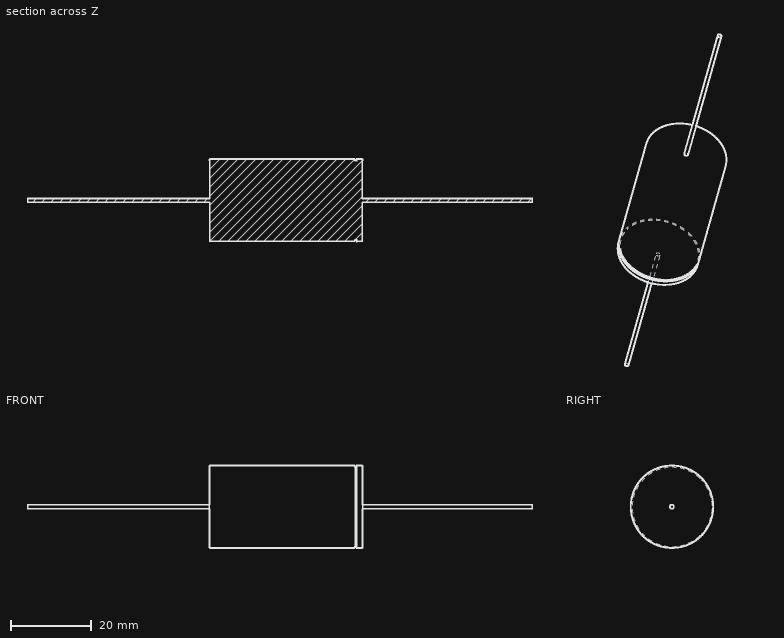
import cadquery as cq

overall_length = 125.0
can_diameter = 20.5
can_length = 38.0
left_lead_length = 45.0
lead_diameter = 1.0
edge_round = 0.3

groove_width = 0.4
groove_depth = 0.4
rim_width = 1.5

can_start = left_lead_length - overall_length / 2
can_end = can_start + can_length
can_radius = can_diameter / 2


def cylinder_along_x(start, length, radius):
    return cq.Workplane("YZ", origin=(start, 0, 0)).circle(radius).extrude(length)


rim_start = can_end - rim_width
sleeve_end = rim_start - groove_width
sleeve = cylinder_along_x(can_start, sleeve_end - can_start, can_radius).edges().fillet(edge_round)
rim = cylinder_along_x(rim_start, rim_width, can_radius).faces(">X").edges().fillet(edge_round)

groove_floor = cylinder_along_x(
    sleeve_end - edge_round, groove_width + 2 * edge_round, can_radius - groove_depth
)

wire = cylinder_along_x(-overall_length / 2, overall_length, lead_diameter / 2)

result = sleeve.union(groove_floor).union(rim).union(wire)